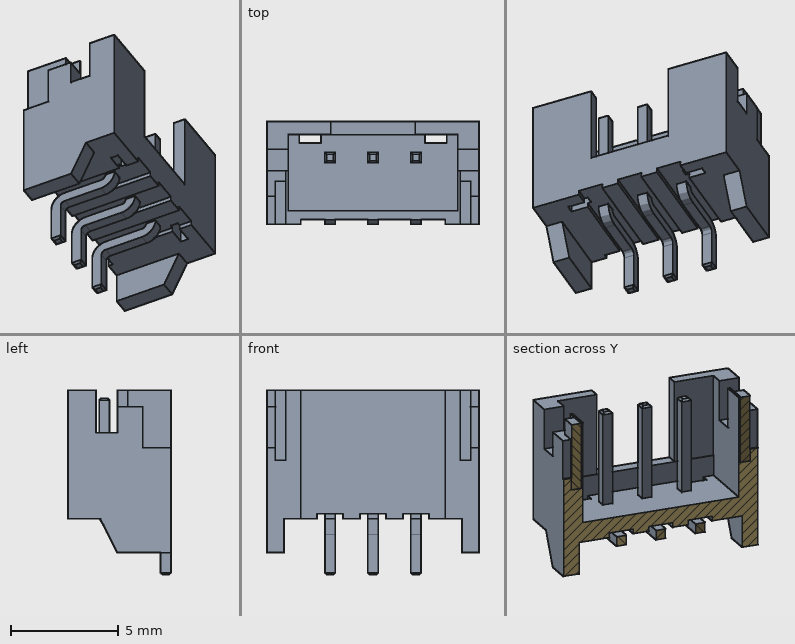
import cadquery as cq
import math


WIDTH = 9.9
LENGTH = 4.8
BODY_DEPTH = 6.0
LEG_DEPTH = 7.57
LEG_WIDTH = 0.81
LEG_FOOT_LENGTH = 2.51
LEG_ROOT_LENGTH = 3.31

CAVITY_WIDTH = 7.9
CAVITY_DEPTH = 5.0
FRONT_WALL = 0.62
REAR_WALL = 0.62
REAR_POST_WALL = 0.59

REAR_WINDOW_WIDTH = 3.94
REAR_WINDOW_DEPTH = 4.0

SIDE_SLOT_START = 2.49
SIDE_SLOT_END = 3.49
SIDE_SLOT_DEPTH = 1.98

FRONT_RECESS_WIDTH = 6.72
FRONT_RECESS_DEPTH = 0.22

SHOULDER_DEPTH = 0.77
STEP_LENGTH = 1.32
STEP_DEPTH = 2.68

FLOOR_SLOT_CENTER = 2.93
FLOOR_SLOT_WIDTH = 1.0
FLOOR_SLOT_LENGTH = 0.38

GROOVE_WIDTH = 1.2
GROOVE_HEIGHT = 0.23

TAB_INNER_X = 4.06
TAB_THICKNESS = 0.49
TAB_LENGTH = 2.02
TAB_DEPTH = 3.27

PIN_COUNT = 3
PIN_PITCH = 2.0
PIN_SIZE = 0.495
PIN_CENTER_Y = 3.11
PIN_TOP_DEPTH = 0.38
PIN_BOTTOM_DEPTH = 8.6
PIN_TIP_CHAMFER = 0.1

TAB_OUTER_X = TAB_INNER_X + TAB_THICKNESS
CAVITY_END = LENGTH - REAR_WALL
GROOVE_ROOF_DEPTH = BODY_DEPTH - GROOVE_HEIGHT
PIN_XS = [(i - (PIN_COUNT - 1) / 2) * PIN_PITCH for i in range(PIN_COUNT)]
SIDES = (-1, 1)


def block(x_range, y_range, depth_range):
    """Box between two X values, two Y values and two depths below the rim."""
    x0, x1 = sorted(x_range)
    y0, y1 = y_range
    top, bottom = depth_range
    return cq.Workplane("XY").box(x1 - x0, y1 - y0, bottom - top, centered=False).translate((x0, y0, -bottom))


def centered_block(width, y_range, depth_range):
    """Box that is symmetric about the middle of the housing."""
    return block((-width / 2, width / 2), y_range, depth_range)


def make_leg(side):
    """Leg below the side wall, with a sloping rear edge."""
    outline = [
        (0, -BODY_DEPTH),
        (LEG_ROOT_LENGTH, -BODY_DEPTH),
        (LEG_FOOT_LENGTH, -LEG_DEPTH),
        (0, -LEG_DEPTH),
    ]
    leg = cq.Workplane("YZ").polyline(outline).close().extrude(LEG_WIDTH)
    start_x = WIDTH / 2 - LEG_WIDTH if side > 0 else -WIDTH / 2
    return leg.translate((start_x, 0, 0))


def make_pin(x):
    """Square pin: upright contact, forward run under the floor, upright solder tail."""
    contact_front = PIN_CENTER_Y - PIN_SIZE / 2
    contact_rear = PIN_CENTER_Y + PIN_SIZE / 2
    inner_radius = GROOVE_HEIGHT
    outer_radius = inner_radius + PIN_SIZE
    run_top = -BODY_DEPTH
    run_bottom = run_top - PIN_SIZE
    upper_center = (contact_front - inner_radius, run_top + inner_radius)
    lower_center = (outer_radius, run_top - outer_radius)
    diagonal = math.sqrt(0.5)

    def upper_mid(radius):
        return (upper_center[0] + radius * diagonal, upper_center[1] - radius * diagonal)

    def lower_mid(radius):
        return (lower_center[0] - radius * diagonal, lower_center[1] + radius * diagonal)

    pin = (
        cq.Workplane("YZ")
        .moveTo(contact_front, -PIN_TOP_DEPTH)
        .lineTo(contact_front, upper_center[1])
        .threePointArc(upper_mid(inner_radius), (upper_center[0], run_top))
        .lineTo(lower_center[0], run_top)
        .threePointArc(lower_mid(outer_radius), (0, lower_center[1]))
        .lineTo(0, -PIN_BOTTOM_DEPTH)
        .lineTo(PIN_SIZE, -PIN_BOTTOM_DEPTH)
        .lineTo(PIN_SIZE, lower_center[1])
        .threePointArc(lower_mid(inner_radius), (lower_center[0], run_bottom))
        .lineTo(upper_center[0], run_bottom)
        .threePointArc(upper_mid(outer_radius), (contact_rear, upper_center[1]))
        .lineTo(contact_rear, -PIN_TOP_DEPTH)
        .close()
        .extrude(PIN_SIZE / 2, both=True)
    )
    pin = pin.faces(">Z").chamfer(PIN_TIP_CHAMFER)
    pin = pin.faces("<Z").chamfer(PIN_TIP_CHAMFER)
    return pin.translate((x, 0, 0))


def make_tab(side):
    """Flat tab set into the front corner of a side wall, flush with the front and the rim."""
    return block((side * TAB_INNER_X, side * TAB_OUTER_X), (0, TAB_LENGTH), (0, TAB_DEPTH))


def cut_side_wall(housing, side):
    """Cut the slot, the lowered shoulder and the lower corner step of one side wall."""
    outer_x = side * WIDTH / 2
    slot = block(
        (side * CAVITY_WIDTH / 2, outer_x), (SIDE_SLOT_START, SIDE_SLOT_END), (0, SIDE_SLOT_DEPTH)
    )
    shoulder = block((side * TAB_INNER_X, outer_x), (0, SIDE_SLOT_START), (0, SHOULDER_DEPTH))
    step = block((side * TAB_OUTER_X, outer_x), (0, STEP_LENGTH), (0, STEP_DEPTH))
    return housing.cut(slot).cut(shoulder).cut(step)


def make_housing(tabs, pins):
    """Open-topped shroud with seats for the tabs and holes for the pins."""
    housing = centered_block(WIDTH, (0, LENGTH), (0, BODY_DEPTH))
    for side in SIDES:
        housing = housing.union(make_leg(side))

    housing = housing.cut(centered_block(CAVITY_WIDTH, (FRONT_WALL, CAVITY_END), (0, CAVITY_DEPTH)))
    post_relief = centered_block(
        CAVITY_WIDTH, (CAVITY_END, LENGTH - REAR_POST_WALL), (0, REAR_WINDOW_DEPTH)
    )
    housing = housing.cut(post_relief)

    window = centered_block(REAR_WINDOW_WIDTH, (CAVITY_END, LENGTH), (0, REAR_WINDOW_DEPTH))
    housing = housing.cut(window)

    recess = centered_block(FRONT_RECESS_WIDTH, (0, FRONT_RECESS_DEPTH), (0, BODY_DEPTH))
    housing = housing.cut(recess)

    for side in SIDES:
        housing = cut_side_wall(housing, side)

        slot_center = side * FLOOR_SLOT_CENTER
        floor_slot = block(
            (slot_center - FLOOR_SLOT_WIDTH / 2, slot_center + FLOOR_SLOT_WIDTH / 2),
            (CAVITY_END - FLOOR_SLOT_LENGTH, CAVITY_END),
            (CAVITY_DEPTH, BODY_DEPTH),
        )
        housing = housing.cut(floor_slot)

    for x in PIN_XS:
        groove = block(
            (x - GROOVE_WIDTH / 2, x + GROOVE_WIDTH / 2), (0, LENGTH), (GROOVE_ROOF_DEPTH, BODY_DEPTH)
        )
        housing = housing.cut(groove)

    for body in tabs + pins:
        housing = housing.cut(body)
    return housing


tabs = [make_tab(side) for side in SIDES]
pins = [make_pin(x) for x in PIN_XS]
housing = make_housing(tabs, pins)

result = cq.Compound.makeCompound(
    [housing.val(), *[tab.val() for tab in tabs], *[pin.val() for pin in pins]]
)